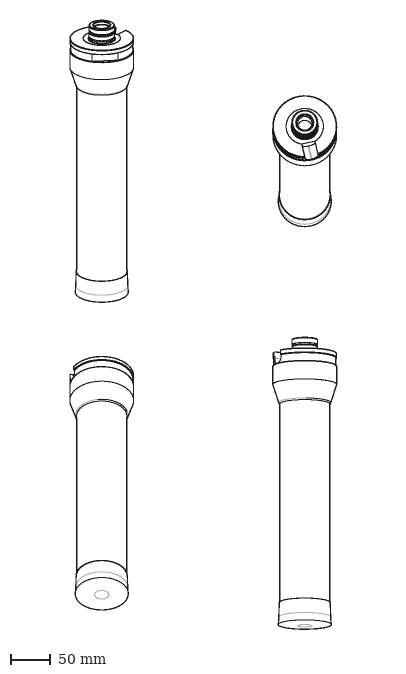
import cadquery as cq
import math

total_height = 364.0
collar_top = 346.0
flange_bottom = 340.0
head_top = 330.0
cone_top = 306.5
cone_bottom = 283.5
tube_top = 281.7
foot_top = 29.5
foot_taper_bottom = 11.0
rim_bottom = 1.5

head_diameter = 80.0
band_diameter = 78.0
cone_end_diameter = 65.5
tube_diameter = 63.0
foot_top_diameter = 64.5
foot_diameter = 65.5
rim_diameter = 66.5
pad_diameter = 18.0
edge_chamfer = 0.7

flat_distance = 35.3
flat_angle = -45.0

slot_width = 16.7
slot_floor_width = 1.0
slot_corner_radius = (slot_width - slot_floor_width) / 2
slot_depth = 16.0
slot_end_y = 21.5

recess_diameter = 46.5
recess_depth = 0.5
relief_diameter = 34.0
relief_depth = 1.5

seat_depth = 22.0
seat_bottom = collar_top - seat_depth
connector_diameter = 32.5
connector_chamfer = 1.0
upper_groove_diameter = 30.5
upper_groove_top = 357.0
upper_groove_bottom = 355.3
upper_groove_ramp = 1.0
lower_groove_diameter = 31.5
lower_groove_top = 349.0
lower_groove_bottom = 347.3
counterbore_diameter = 21.0
counterbore_depth = 3.5
counterbore_chamfer = 0.7
bore_diameter = 18.0
bore_depth = 22.0
drill_point_angle = 118.0


def revolve_outline(points):
    """Turn a (radius, height) outline about the Z axis."""
    return cq.Workplane("XZ").polyline(points).close().revolve(360, (0, 0, 0), (0, 1, 0))


def make_round_pocket(diameter, bottom):
    """Cylinder from the given height up to the top of the flange."""
    return cq.Workplane("XY").workplane(offset=bottom).circle(diameter / 2).extrude(collar_top - bottom)


def make_housing_body():
    head = head_diameter / 2
    band = band_diameter / 2
    return revolve_outline([
        (0, 0),
        (pad_diameter / 2, 0),
        (rim_diameter / 2, rim_bottom),
        (foot_diameter / 2, foot_taper_bottom),
        (foot_top_diameter / 2, foot_top),
        (tube_diameter / 2, foot_top),
        (tube_diameter / 2, tube_top),
        (cone_end_diameter / 2, cone_bottom),
        (head, cone_top),
        (head, head_top - edge_chamfer),
        (head - edge_chamfer, head_top),
        (band, head_top),
        (band, flange_bottom),
        (head - edge_chamfer, flange_bottom),
        (head, flange_bottom + edge_chamfer),
        (head, collar_top - edge_chamfer),
        (head - edge_chamfer, collar_top),
        (0, collar_top),
    ])


def make_wrench_flat_cutter():
    return (
        cq.Workplane("XY")
        .box(head_diameter, head_diameter, flange_bottom - head_top, centered=(False, True, False))
        .translate((flat_distance, 0, head_top))
        .rotate((0, 0, 0), (0, 0, 1), flat_angle)
    )


def make_slot_cutter():
    """Slot with broadly rounded lower corners and a narrow flat floor."""
    return (
        cq.Workplane("XY")
        .box(slot_width, head_diameter / 2, slot_depth, centered=(True, False, False))
        .edges("|Y and <Z")
        .fillet(slot_corner_radius)
        .translate((0, slot_end_y, collar_top - slot_depth))
    )


def make_housing():
    return (
        make_housing_body()
        .cut(make_wrench_flat_cutter())
        .cut(make_round_pocket(recess_diameter, collar_top - recess_depth))
        .cut(make_round_pocket(relief_diameter, collar_top - relief_depth))
        .cut(make_round_pocket(connector_diameter, seat_bottom))
        .cut(make_slot_cutter())
    )


def make_connector_body():
    radius = connector_diameter / 2
    return revolve_outline([
        (0, seat_bottom),
        (radius, seat_bottom),
        (radius, lower_groove_bottom),
        (lower_groove_diameter / 2, lower_groove_bottom),
        (lower_groove_diameter / 2, lower_groove_top),
        (radius, lower_groove_top),
        (radius, upper_groove_bottom - upper_groove_ramp),
        (upper_groove_diameter / 2, upper_groove_bottom),
        (upper_groove_diameter / 2, upper_groove_top),
        (radius, upper_groove_top),
        (radius, total_height - connector_chamfer),
        (radius - connector_chamfer, total_height),
        (0, total_height),
    ])


def make_bore_cutter():
    """Counterbored blind hole ending in a drill point."""
    bore = bore_diameter / 2
    counterbore = counterbore_diameter / 2
    bore_bottom = total_height - bore_depth
    ledge = total_height - counterbore_depth
    point_depth = bore / math.tan(math.radians(drill_point_angle / 2))
    return revolve_outline([
        (0, bore_bottom - point_depth),
        (bore, bore_bottom),
        (bore, ledge),
        (counterbore, ledge),
        (counterbore, total_height - counterbore_chamfer),
        (counterbore + counterbore_chamfer, total_height),
        (0, total_height),
    ])


def make_connector():
    return make_connector_body().cut(make_bore_cutter())


housing = make_housing()
connector = make_connector()
result = cq.Compound.makeCompound([housing.val(), connector.val()])